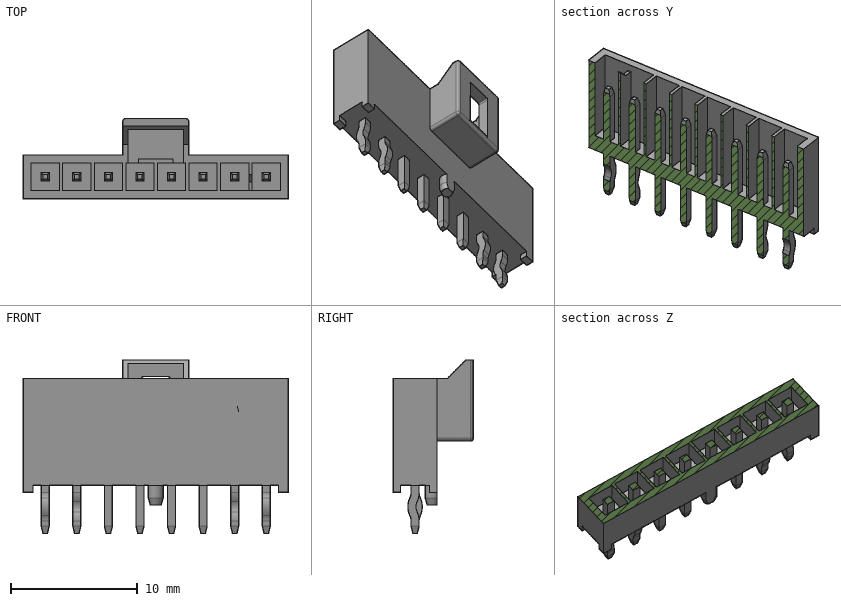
import cadquery as cq
import math


BODY_LENGTH = 20.95
BODY_DEPTH = 3.48
BODY_HEIGHT = 9.0
BACK_Y = BODY_DEPTH / 2
STANDOFF = 0.57
FOOT_LENGTH = 0.8
FOOT_DEPTH = 0.6

PIN_COUNT = 8
PITCH = 2.5
CAVITY_LENGTH = 2.22
CAVITY_DEPTH = 2.15
CAVITY_FLOOR_Z = 2.0
PARTITION_THICKNESS = PITCH - CAVITY_LENGTH

NOTCH_TOP_Y = 0.19
NOTCH_DROP = 0.6

LATCH_WIDTH = 5.24
LATCH_REACH = 2.87
LATCH_RISE = 1.47
LATCH_BOTTOM_Z = 4.05
LATCH_LIP = 0.59
LATCH_EDGE_RADIUS = 0.25
LATCH_BACK_WALL = 0.88
LATCH_SIDE_WALL = 0.45
LATCH_BACK_Y = BACK_Y + LATCH_REACH
LATCH_TOP_Z = BODY_HEIGHT + LATCH_RISE
SLOT_WIDTH = LATCH_WIDTH - 2 * LATCH_SIDE_WALL
SLOT_FLOOR_Z = LATCH_BOTTOM_Z + LATCH_SIDE_WALL
WINDOW_WIDTH = 2.2
WINDOW_TOP_Z = 9.13
WINDOW_CORNER = 0.1
SCREEN_WIDTH = 2.75
SCREEN_THICKNESS = 0.31

PEG_DIAMETER = 1.2
PEG_TIP_DIAMETER = 0.85
PEG_INSET = 0.35
PEG_SHOULDER_Z = -0.45
PEG_TIP_Z = -1.0

PIN_SIZE = 0.65
PIN_TIP_SIZE = 0.35
PIN_TIP_LENGTH = 0.59
PIN_TOP_Z = 6.9
PIN_BOTTOM_Z = -3.25
KINK_OFFSET = 0.25
KINK_LENGTH = 2.26
KINK_DIRECTIONS = {0: -1, 1: 1, PIN_COUNT - 2: 1, PIN_COUNT - 1: -1}


def block(x_range, y_range, z_range):
    """Box spanning the given (low, high) ranges."""
    lows, highs = zip(x_range, y_range, z_range)
    sizes = [high - low for low, high in zip(lows, highs)]
    return cq.Workplane("XY").box(*sizes, centered=False).translate(lows)


def centred(width):
    """Range of the given width about zero."""
    return (-width / 2, width / 2)


def pin_x(index):
    return (index - (PIN_COUNT - 1) / 2) * PITCH


def make_housing():
    """Block standing on four corner feet."""
    body = block(centred(BODY_LENGTH), centred(BODY_DEPTH), (0, BODY_HEIGHT))
    gap_z = (0, STANDOFF)
    lengthwise_gap = block(centred(BODY_LENGTH - 2 * FOOT_LENGTH), centred(BODY_DEPTH), gap_z)
    crosswise_gap = block(centred(BODY_LENGTH), centred(BODY_DEPTH - 2 * FOOT_DEPTH), gap_z)
    return body.cut(lengthwise_gap).cut(crosswise_gap)


def make_latch():
    """Solid latch with a sloped top and rounded outer edges, reaching to the back of the housing."""
    slope_start_y = LATCH_BACK_Y - LATCH_LIP
    latch = (
        cq.Workplane("YZ")
        .moveTo(BACK_Y, LATCH_BOTTOM_Z)
        .lineTo(LATCH_BACK_Y, LATCH_BOTTOM_Z)
        .lineTo(LATCH_BACK_Y, LATCH_TOP_Z)
        .lineTo(slope_start_y, LATCH_TOP_Z)
        .lineTo(slope_start_y - LATCH_RISE, BODY_HEIGHT)
        .lineTo(BACK_Y, BODY_HEIGHT)
        .close()
        .extrude(LATCH_WIDTH / 2, both=True)
    )
    edges_off_housing = cq.selectors.BoxSelector(
        (-LATCH_WIDTH, BACK_Y + LATCH_EDGE_RADIUS, 0),
        (LATCH_WIDTH, LATCH_BACK_Y + LATCH_EDGE_RADIUS, LATCH_TOP_Z),
    )
    return latch.edges("(>Y and |Z) or <Z").edges(edges_off_housing).fillet(LATCH_EDGE_RADIUS)


def make_latch_slot():
    """Space inside the latch, open to the middle cavities on both sides of a thin screen."""
    cavity_back_y = CAVITY_DEPTH / 2
    slot_z = (SLOT_FLOOR_Z, LATCH_TOP_Z)
    slot = block(centred(SLOT_WIDTH), (cavity_back_y, LATCH_BACK_Y - LATCH_BACK_WALL), slot_z)
    screen = block(centred(SCREEN_WIDTH), (cavity_back_y, cavity_back_y + SCREEN_THICKNESS), slot_z)
    return slot.cut(screen)


def make_latch_window():
    """Opening through the back wall of the latch with rounded upper corners."""
    back_wall_y = (LATCH_BACK_Y - LATCH_BACK_WALL, LATCH_BACK_Y)
    window = block(centred(WINDOW_WIDTH), back_wall_y, (SLOT_FLOOR_Z, WINDOW_TOP_Z))
    return window.edges("|Y and >Z").fillet(WINDOW_CORNER)


def make_cavity(index):
    cavity = block(centred(CAVITY_LENGTH), centred(CAVITY_DEPTH), (CAVITY_FLOOR_Z, BODY_HEIGHT))
    return cavity.translate((pin_x(index), 0, 0))


def make_partition_notch():
    """Ramped cut in the partition between the last two cavities."""
    partition_x = (pin_x(PIN_COUNT - 2) + pin_x(PIN_COUNT - 1)) / 2
    notch_floor_z = BODY_HEIGHT - NOTCH_DROP
    notch = (
        cq.Workplane("YZ")
        .moveTo(NOTCH_TOP_Y, BODY_HEIGHT)
        .lineTo(NOTCH_TOP_Y - NOTCH_DROP, notch_floor_z)
        .lineTo(-CAVITY_DEPTH / 2, notch_floor_z)
        .lineTo(-CAVITY_DEPTH / 2, BODY_HEIGHT)
        .close()
        .extrude(PARTITION_THICKNESS / 2, both=True)
    )
    return notch.translate((partition_x, 0, 0))


def make_peg():
    """Round peg with a tapered tip."""
    peg = (
        cq.Workplane("XZ")
        .moveTo(0, STANDOFF)
        .lineTo(PEG_DIAMETER / 2, STANDOFF)
        .lineTo(PEG_DIAMETER / 2, PEG_SHOULDER_Z)
        .lineTo(PEG_TIP_DIAMETER / 2, PEG_TIP_Z)
        .lineTo(0, PEG_TIP_Z)
        .close()
        .revolve(360, (0, 0), (0, 1))
        .translate((0, BACK_Y - PEG_INSET, 0))
    )
    beyond_back = block(centred(PEG_DIAMETER), (BACK_Y, BACK_Y + PEG_DIAMETER), (PEG_TIP_Z, STANDOFF))
    return peg.cut(beyond_back)


def kink_side(side):
    """Points down one side of a kink of three tangent arcs: ends and middles by turns.

    The bend is towards +Y and side is the distance of this face from the pin's centre line.
    """
    bend_angle = 2 * math.atan2(KINK_OFFSET, KINK_LENGTH / 2)
    bend_radius = KINK_LENGTH / 4 / math.sin(bend_angle)
    end_radius = bend_radius - side

    def end_arc_point(angle):
        return (bend_radius - end_radius * math.cos(angle), -end_radius * math.sin(angle))

    upper_half = [end_arc_point(angle) for angle in (0, bend_angle / 2, bend_angle)]
    crest = (KINK_OFFSET + side, -KINK_LENGTH / 2)
    lower_half = [(y, -KINK_LENGTH - z) for y, z in reversed(upper_half)]
    return upper_half + [crest] + lower_half


def add_arcs(outline, points):
    """Continue an outline from points[0] through arcs given as middle and end by turns."""
    for middle, end in zip(points[1::2], points[2::2]):
        outline = outline.threePointArc(middle, end)
    return outline


def make_kinked_shank(direction):
    """Stretch of a pin between Z = 0 and the end of its kink, bent towards +Y or -Y."""
    side_down = kink_side(PIN_SIZE / 2)
    side_up = kink_side(-PIN_SIZE / 2)[::-1]
    outline = add_arcs(cq.Workplane("YZ").moveTo(*side_down[0]), side_down)
    outline = add_arcs(outline.lineTo(*side_up[0]), side_up)
    shank = outline.close().extrude(PIN_SIZE / 2, both=True)
    return shank if direction > 0 else shank.mirror("XZ")


def make_tip(base_z, end_z):
    """Tapered square end of a pin."""
    return (
        cq.Workplane("XY")
        .workplane(offset=base_z)
        .rect(PIN_SIZE, PIN_SIZE)
        .workplane(offset=end_z - base_z)
        .rect(PIN_TIP_SIZE, PIN_TIP_SIZE)
        .loft(ruled=True)
    )


def make_pin(index):
    """Square pin with two tapered ends, kinked below the housing if the row calls for it."""
    across = centred(PIN_SIZE)
    tip_base_z = PIN_BOTTOM_Z + PIN_TIP_LENGTH
    upper_base_z = PIN_TOP_Z - PIN_TIP_LENGTH
    if index in KINK_DIRECTIONS:
        pin = block(across, across, (0, upper_base_z))
        pin = pin.union(make_kinked_shank(KINK_DIRECTIONS[index]))
        pin = pin.union(block(across, across, (tip_base_z, -KINK_LENGTH)))
    else:
        pin = block(across, across, (tip_base_z, upper_base_z))
    pin = pin.union(make_tip(tip_base_z, PIN_BOTTOM_Z)).union(make_tip(upper_base_z, PIN_TOP_Z))
    return pin.translate((pin_x(index), 0, 0))


result = make_housing().union(make_latch()).cut(make_latch_slot()).cut(make_latch_window())
for place in range(PIN_COUNT):
    result = result.cut(make_cavity(place))
result = result.cut(make_partition_notch()).union(make_peg())
for place in range(PIN_COUNT):
    result = result.union(make_pin(place))